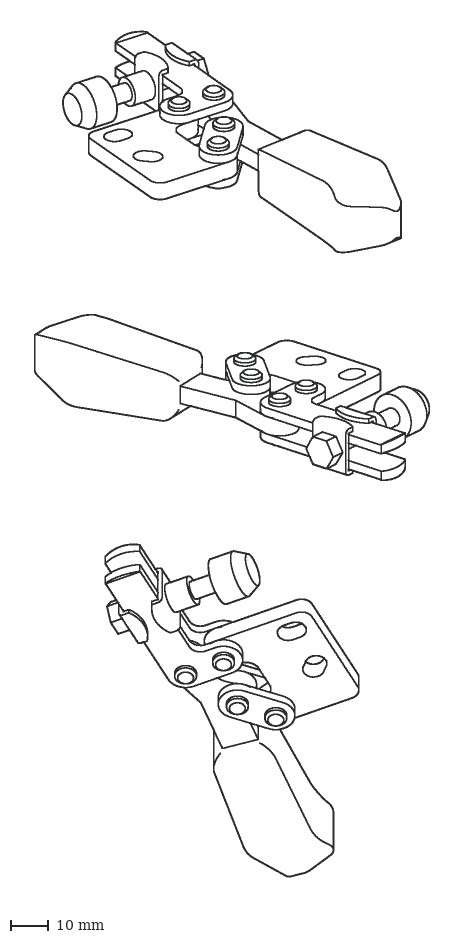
import cadquery as cq
import math


plate_thick = 5.0
cheek_thick = 2.5
cheek_inner_z = plate_thick / 2
cheek_outer_z = cheek_inner_z + cheek_thick

arm_base_pivot = (0.0, 0.0)
arm_lever_pivot = (0.0, 11.1)
link_lever_pivot = (15.87, 3.52)
link_base_pivot = (24.01, -3.84)
boss_radius = 5.07

rivet_diameter = 5.8
rivet_head_height = 1.72
rivet_chamfer = 0.8

base_left = -boss_radius
base_right = link_base_pivot[0] + boss_radius
base_bottom = -26.89
base_corner_radius = 3.1
recess_floor = -6.1
recess_radius = 3.6
slot_width = 5.65
slot_row_y = -19.8
upright_slot_x = 0.46
upright_slot_length = 7.85
slanted_slot_x = 14.5
slanted_slot_length = 7.8
slanted_slot_angle = 45

arm_center_y = arm_lever_pivot[1]
arm_half_width = boss_radius
arm_tip_x = -39.86
tip_bulge = 1.15
arm_throat_radius = 3.2
flare_length = 1.46
flare_outer = 0.7
flare_inner = 0.25

lever_angle = 6.5
lever_half_width = 5.0
lever_bend = (13.37, 13.05)
lever_scallop_radius = 10.0
shank_start = -17.0
shank_end = 8.0
grip_origin = (31.3, 10.05)
grip_front_half_width = 8.4
grip_top_bend = (32.3, 9.5)
grip_top_corner = (49.4, 1.65)
grip_bottom_corner = (40.2, -13.75)
grip_bottom_bend = (33.2, -9.6)
grip_front_radius = 3.65
grip_top_bend_radius = 12.0
grip_bottom_bend_radius = 17.0
grip_bottom_radius = 3.6
grip_end_radius = 3.0
grip_front_half_thick = 6.8
grip_peak_u = 32.3
grip_peak_half_thick = 9.13
grip_end_half_thick = 5.3
grip_end_u = 48.3
grip_peak_radius = 17.8

spindle_x = -22.03
rod_diameter = 5.0
nut_across_flats = 8.0
nut_height = 4.0
sleeve_diameter = 8.0
sleeve_length = 6.45
rod_visible_length = 7.4
cap_diameter = 12.7
cap_tip_diameter = 8.9
cap_straight_length = 6.55
cap_cone_length = 3.45

washer_width = 11.3
washer_thick = 1.25
washer_half_z = 6.65
washer_offset = arm_half_width + washer_thick
flange_depth = 4.65
flange_tip_radius = 10.2


def slab(sketch, z_low, z_high):
    """Extrude a closed XY sketch between two heights."""
    return sketch.extrude(z_high - z_low).translate((0, 0, z_low))


def disc(center, radius, z_low, z_high):
    return slab(cq.Workplane("XY").center(*center).circle(radius), z_low, z_high)


def plate_disc(center, radius):
    """Disc as thick as the base plate."""
    return disc(center, radius, -plate_thick / 2, plate_thick / 2)


def rivet(center):
    """Straight pin through both cheeks with a chamfered head on each side."""
    head_z = cheek_outer_z + rivet_head_height
    return disc(center, rivet_diameter / 2, -head_z, head_z).faces("<Z or >Z").chamfer(rivet_chamfer)


def on_both_sides(body):
    """A body together with its mirror image below the mid plane."""
    return body.union(body.mirror("XY"))


def rivet_holes(body, pivots):
    for pivot in pivots:
        body = body.cut(plate_disc(pivot, rivet_diameter / 2))
    return body


def make_base():
    post_x, post_y = link_base_pivot
    root_y = recess_floor + recess_radius
    root_x = post_x - math.sqrt((boss_radius + recess_radius) ** 2 - (root_y - post_y) ** 2)
    touch_share = boss_radius / (boss_radius + recess_radius)
    post_touch = (post_x + (root_x - post_x) * touch_share, post_y + (root_y - post_y) * touch_share)
    outline = (
        cq.Workplane("XY")
        .moveTo(base_left, 0)
        .lineTo(base_left, base_bottom)
        .lineTo(base_right, base_bottom)
        .lineTo(base_right, post_y)
        .threePointArc((post_x, post_y + boss_radius), post_touch)
        .radiusArc((root_x, recess_floor), recess_radius)
        .lineTo(boss_radius + recess_radius, recess_floor)
        .radiusArc((boss_radius, root_y), recess_radius)
        .lineTo(boss_radius, 0)
        .threePointArc((0, boss_radius), (base_left, 0))
        .close()
    )
    base = slab(outline, -plate_thick / 2, plate_thick / 2)
    base = base.edges("|Z").edges("<Y").fillet(base_corner_radius)

    slots = (
        (upright_slot_x, upright_slot_length, 90),
        (slanted_slot_x, slanted_slot_length, slanted_slot_angle),
    )
    for slot_x, slot_length, angle in slots:
        slot = cq.Workplane("XY").center(slot_x, slot_row_y).slot2D(slot_length, slot_width, angle)
        base = base.cut(slab(slot, -plate_thick / 2, plate_thick / 2))
    return rivet_holes(base, [arm_base_pivot, link_base_pivot])


def make_arm():
    top_y = arm_center_y + arm_half_width
    bottom_y = arm_center_y - arm_half_width
    outline = (
        cq.Workplane("XY")
        .moveTo(arm_tip_x + tip_bulge, top_y)
        .lineTo(0, top_y)
        .radiusArc((boss_radius, arm_center_y), boss_radius)
        .lineTo(boss_radius, 0)
        .threePointArc((0, -boss_radius), (-boss_radius, 0))
        .lineTo(-boss_radius, bottom_y - arm_throat_radius)
        .radiusArc((-boss_radius - arm_throat_radius, bottom_y), -arm_throat_radius)
        .lineTo(arm_tip_x + tip_bulge, bottom_y)
        .threePointArc((arm_tip_x, arm_center_y), (arm_tip_x + tip_bulge, top_y))
        .close()
    )
    footprint = slab(outline, 0, cheek_outer_z + flare_outer)

    flare_x = arm_tip_x + flare_length
    profile = (
        cq.Workplane("XZ")
        .polyline([
            (boss_radius, cheek_inner_z),
            (boss_radius, cheek_outer_z),
            (flare_x, cheek_outer_z),
            (arm_tip_x, cheek_outer_z + flare_outer),
            (arm_tip_x, cheek_inner_z + flare_inner),
            (flare_x, cheek_inner_z),
        ])
        .close()
        .extrude(2 * (top_y + boss_radius), both=True)
    )
    arm = on_both_sides(footprint.intersect(profile))
    for pivot in (arm_base_pivot, arm_lever_pivot):
        arm = arm.union(rivet(pivot))
    return arm


def make_link():
    (start_x, start_y), (end_x, end_y) = link_lever_pivot, link_base_pivot
    length = math.hypot(end_x - start_x, end_y - start_y) + 2 * boss_radius
    angle = math.degrees(math.atan2(end_y - start_y, end_x - start_x))
    middle = ((start_x + end_x) / 2, (start_y + end_y) / 2)
    strap = cq.Workplane("XY").center(*middle).slot2D(length, 2 * boss_radius, angle)
    link = on_both_sides(slab(strap, cheek_inner_z, cheek_outer_z))
    for pivot in (link_lever_pivot, link_base_pivot):
        link = link.union(rivet(pivot))
    return link


def along_lever(u, v):
    """World point at distance u along and v across the lever axis from the grip front."""
    angle = math.radians(lever_angle)
    return (
        grip_origin[0] + u * math.cos(angle) - v * math.sin(angle),
        grip_origin[1] + u * math.sin(angle) + v * math.cos(angle),
    )


def tangent_point(center, radius, point):
    """Upper touching point of the line from a point on the right to a circle."""
    dx, dy = point[0] - center[0], point[1] - center[1]
    angle = math.atan2(dy, dx) + math.acos(radius / math.hypot(dx, dy))
    return (center[0] + radius * math.cos(angle), center[1] + radius * math.sin(angle))


def scallop_center():
    """Centre below the lever of the arc that touches both lever bosses."""
    (ax, ay), (bx, by) = arm_lever_pivot, link_lever_pivot
    span = math.hypot(bx - ax, by - ay)
    drop = math.sqrt((boss_radius + lever_scallop_radius) ** 2 - (span / 2) ** 2)
    return ((ax + bx) / 2 + (by - ay) / span * drop, (ay + by) / 2 - (bx - ax) / span * drop)


def make_lever():
    web = cq.Workplane("XY").polyline([
        arm_lever_pivot,
        tangent_point(arm_lever_pivot, boss_radius, lever_bend),
        lever_bend,
        along_lever(shank_end, lever_half_width),
        along_lever(shank_end, -lever_half_width),
        along_lever(shank_start, -lever_half_width),
        link_lever_pivot,
        scallop_center(),
    ]).close()
    lever = slab(web, -plate_thick / 2, plate_thick / 2)
    lever = lever.cut(plate_disc(scallop_center(), lever_scallop_radius))
    for pivot in (arm_lever_pivot, link_lever_pivot):
        lever = lever.union(plate_disc(pivot, boss_radius))
    return rivet_holes(lever, [arm_lever_pivot, link_lever_pivot])


def round_corner(body, corner, radius, direction):
    """Fillet the edge in the given direction that lies nearest to a corner point."""
    near = cq.selectors.NearestToPointSelector(corner)
    return body.edges(direction).edges(near).fillet(radius)


def make_grip():
    """Grip in lever coordinates: plan shape crossed with a tapered thickness profile."""
    plan = slab(
        cq.Workplane("XY").polyline([
            (0, -grip_front_half_width),
            (0, grip_front_half_width),
            grip_top_bend,
            grip_top_corner,
            grip_bottom_corner,
            grip_bottom_bend,
        ]).close(),
        -grip_peak_half_thick, grip_peak_half_thick,
    )

    for side in (1, -1):
        front = (0, side * grip_front_half_width, 0)
        plan = round_corner(plan, front, grip_front_radius, "|Z")
    rear_corners = (
        (grip_top_bend, grip_top_bend_radius),
        (grip_top_corner, grip_end_radius),
        (grip_bottom_corner, grip_bottom_radius),
        (grip_bottom_bend, grip_bottom_bend_radius),
    )
    for corner, radius in rear_corners:
        plan = round_corner(plan, (*corner, 0), radius, "|Z")

    half_profile = [
        (0, grip_front_half_thick),
        (grip_peak_u, grip_peak_half_thick),
        (grip_end_u, grip_end_half_thick),
    ]
    mirrored = [(u, -z) for u, z in reversed(half_profile)]
    thickness = (
        cq.Workplane("XZ").polyline(half_profile + mirrored).close()
        .extrude(2 * grip_top_bend[1], both=True)
    )
    profile_radii = (grip_front_radius, grip_peak_radius, grip_end_radius)
    for (u, z), radius in zip(half_profile, profile_radii):
        for side in (1, -1):
            thickness = round_corner(thickness, (u, 0, side * z), radius, "|Y")

    grip = plan.intersect(thickness)
    return grip.rotate((0, 0, 0), (0, 0, 1), lever_angle).translate((*grip_origin, 0))


def make_handle():
    return make_lever().union(make_grip())


def make_spindle():
    def turned(top_y, length, diameter):
        """Cylinder on the spindle axis hanging down from the given height."""
        section = cq.Workplane("XZ", origin=(spindle_x, top_y, 0)).circle(diameter / 2)
        return section.extrude(length)

    nut_top = arm_center_y + washer_offset + nut_height
    sleeve_top = arm_center_y - washer_offset
    cap_top = sleeve_top - sleeve_length - rod_visible_length
    nut_corner_diameter = nut_across_flats / math.cos(math.pi / 6)

    nut = (
        cq.Workplane("XZ", origin=(spindle_x, nut_top, 0))
        .polygon(6, nut_corner_diameter)
        .extrude(nut_height)
    )
    rod = turned(nut_top, nut_top - cap_top, rod_diameter)
    sleeve = turned(sleeve_top, sleeve_length, sleeve_diameter)
    cap = turned(cap_top, cap_straight_length + cap_cone_length, cap_diameter)
    cap_chamfer = (cap_diameter - cap_tip_diameter) / 2
    cap = cap.faces("<Y").chamfer(cap_cone_length, cap_chamfer)
    return nut.union(rod).union(sleeve).union(cap)


def make_washer(side):
    """Washer on the upper (+1) or lower (-1) edge of the arm, flanges reaching over the cheeks."""
    inner_z = washer_half_z - washer_thick
    flange_tip = washer_offset - flange_depth
    channel = (
        cq.Workplane("XY")
        .box(washer_width, flange_depth, 2 * washer_half_z)
        .edges("|X and >Y").fillet(washer_thick)
        .translate((0, washer_offset - flange_depth / 2, 0))
    )
    gap = (
        cq.Workplane("XY")
        .box(washer_width, flange_depth, 2 * inner_z)
        .translate((0, arm_half_width - flange_depth / 2, 0))
    )
    flange_center = (0, flange_tip + flange_tip_radius)
    rounded_flanges = disc(flange_center, flange_tip_radius, -washer_half_z, washer_half_z)
    bore = cq.Workplane("XZ").circle(rod_diameter / 2).extrude(-washer_offset)
    washer = channel.intersect(rounded_flanges).cut(gap).cut(bore)
    if side < 0:
        washer = washer.mirror("XZ")
    return washer.translate((spindle_x, arm_center_y, 0))


base = make_base()
arm = make_arm()
link = make_link()
handle = make_handle()
spindle = make_spindle()
washers = [make_washer(side) for side in (1, -1)]

result = cq.Compound.makeCompound([
    *base.solids().vals(),
    *arm.solids().vals(),
    *link.solids().vals(),
    *handle.solids().vals(),
    *spindle.solids().vals(),
    *[solid for washer in washers for solid in washer.solids().vals()],
])